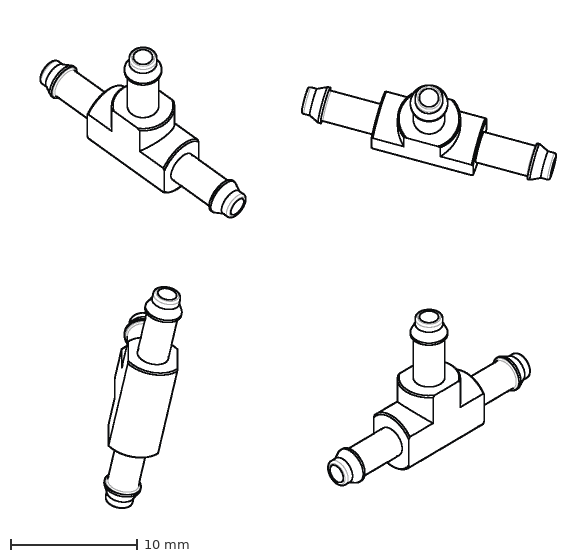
import cadquery as cq

reach = 10.2
bore_diameter = 1.5

body_diameter = 5.0
body_width = 4.0
body_half_length = 4.18
body_edge = 0.12

tube_diameter = 2.5
tip_diameter = 2.2
barb_diameter = 2.95
tip_round = 0.18
cone_start = 0.7
rim_start = 1.49
rim_end = 1.7
rim_fillet = 0.12


def body_arm(start, end):
    """Solid cylinder along Z with a chamfered upper end."""
    return (
        cq.Workplane("XY", origin=(0, 0, start))
        .circle(body_diameter / 2)
        .extrude(end - start)
        .faces(">Z")
        .edges()
        .chamfer(body_edge)
    )


def barb():
    """Barbed hose stem pointing up Z, starting at the tee centre."""
    tip_radius = tip_diameter / 2
    tube_radius = tube_diameter / 2
    barb_radius = barb_diameter / 2
    fillet_mid = rim_fillet * (1 - 0.5 ** 0.5)
    rim_back = reach - rim_end
    tip_mid = tip_round * (1 - 0.5 ** 0.5)
    return (
        cq.Workplane("XZ")
        .lineTo(tube_radius, 0)
        .lineTo(tube_radius, rim_back - rim_fillet)
        .threePointArc(
            (tube_radius + fillet_mid, rim_back - fillet_mid),
            (tube_radius + rim_fillet, rim_back),
        )
        .lineTo(barb_radius, rim_back)
        .lineTo(barb_radius, reach - rim_start)
        .lineTo(tip_radius, reach - cone_start)
        .lineTo(tip_radius, reach - tip_round)
        .threePointArc(
            (tip_radius - tip_mid, reach - tip_mid),
            (tip_radius - tip_round, reach),
        )
        .lineTo(0, reach)
        .close()
        .revolve(360, (0, 0, 0), (0, 1, 0))
    )


def bore():
    """Cutter from the tee centre out through a tip."""
    return cq.Workplane("XY").circle(bore_diameter / 2).extrude(reach)


def turned(shape, angle):
    """Swing a shape built along Z about the Y axis."""
    return shape.rotate((0, 0, 0), (0, 1, 0), angle)


run = body_arm(-body_half_length, body_half_length)
run = run.faces("<Z").edges().chamfer(body_edge)
body = turned(run, 90).union(body_arm(0, body_half_length))

flats = cq.Workplane("XY").box(2 * reach, body_width, 2 * reach)
body = body.intersect(flats)

stem_angles = (-90, 0, 90)
for angle in stem_angles:
    body = body.union(turned(barb(), angle))
for angle in stem_angles:
    body = body.cut(turned(bore(), angle))

result = body